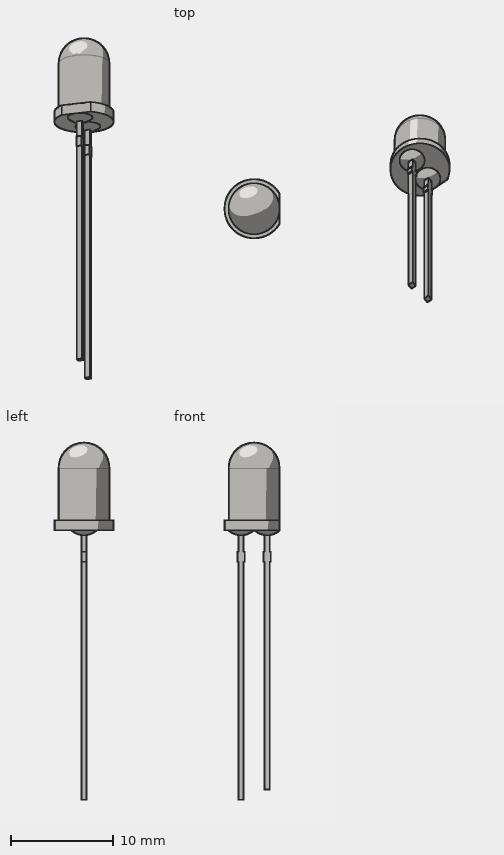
import cadquery as cq

total_height = 35.0
lens_diameter = 5.0
lens_radius = lens_diameter / 2
body_height = 8.6
flange_diameter = 5.8
flange_height = 1.0

meniscus_radius = 1.22
meniscus_height = 0.5

lead_pitch = 2.55
lead_thickness = 0.52
shoulder_width = 0.75
shoulder_height = 1.0
shoulder_top = -2.05
long_lead_end = body_height - total_height
lead_length_difference = 1.0


def make_lens():
    """Cylinder with a hemispherical top."""
    shoulder = body_height - lens_radius
    cylinder = cq.Workplane("XY").circle(lens_radius).extrude(shoulder)
    dome = cq.Workplane("XY").sphere(lens_radius).translate((0, 0, shoulder))
    return cylinder.union(dome)


def make_flange():
    """Round rim cut flat on +X, tangent to the lens."""
    rim = cq.Workplane("XY").circle(flange_diameter / 2).extrude(flange_height)
    keep = cq.Workplane("XY").box(
        2 * lens_radius + flange_diameter, flange_diameter, flange_height, centered=(True, True, False)
    ).translate((-flange_diameter / 2, 0, 0))
    return rim.intersect(keep)


def make_meniscus(x):
    """Shallow spherical cap below the flange."""
    cap_radius = (meniscus_radius**2 + meniscus_height**2) / (2 * meniscus_height)
    ball = cq.Workplane("XY").sphere(cap_radius).translate((x, 0, cap_radius - meniscus_height))
    slab = cq.Workplane("XY").box(
        2 * meniscus_radius, 2 * meniscus_radius, meniscus_height, centered=(True, True, False)
    ).translate((x, 0, -meniscus_height))
    return ball.intersect(slab)


def make_lead(x, end_z):
    """Square wire rooted at the flange underside, with its shoulder."""
    wire = cq.Workplane("XY").center(x, 0).rect(lead_thickness, lead_thickness).extrude(end_z)
    shoulder = (
        cq.Workplane("XY", origin=(x, 0, shoulder_top))
        .rect(shoulder_width, lead_thickness)
        .extrude(-shoulder_height)
    )
    return wire.union(shoulder)


result = make_lens().union(make_flange())
lead_ends = (
    (-lead_pitch / 2, long_lead_end),
    (lead_pitch / 2, long_lead_end + lead_length_difference),
)
for lead_x, lead_end in lead_ends:
    result = result.union(make_meniscus(lead_x)).union(make_lead(lead_x, lead_end))